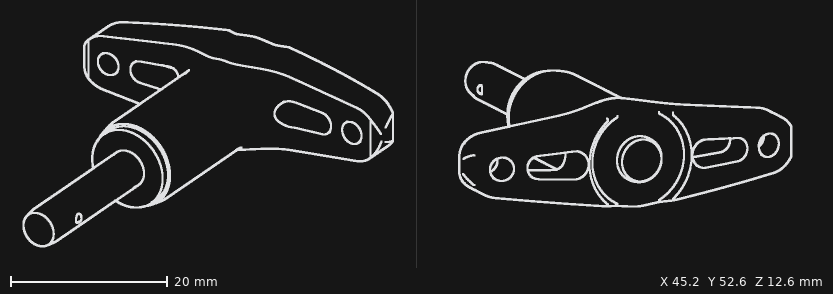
import cadquery as cq
import math


pin_length = 21.05
pin_radius = 2.5
tip_length = 1.5
tip_radius = 2.3
ball_radius = 0.65
ball_projection = 0.35
ball_y = -15.5

collar_radius = 5.35
collar_length = 1.25
sleeve_radius = 5.95
sleeve_end_radius = 5.7
sleeve_taper_length = 1.65
sleeve_straight_end = 20.6

root_fillet = 4.1
underside_slope = math.radians(3.0)
crest_radius = 7.1
crest_y = 31.2
dome_edge_y = 28.5
dome_bulge = 0.35
dish_floor_radius = 6.35
dish_floor_y = 30.4
back_rim_round = 0.2

hub_radius = 6.3
arm_end_radius = 3.85
handle_span = 45.2
half_span = handle_span / 2
arm_end_x = half_span - arm_end_radius

tip_taper = math.radians(9.5)
tip_round = 1.1

button_radius = 2.95
button_top_radius = 2.75
button_top_y = 31.55
button_round_length = 0.5
button_round_bulge = 0.05

hole_radius = 1.5
hole_x = 18.5
slot_outer_radius = 1.5
slot_outer_x = 13.75
slot_inner_radius = 1.85
slot_inner_x = 9.05


def tapered_outline(x_a, radius_a, x_b, radius_b):
    """XZ outline around two circles centred on the X axis, the first lying at smaller X."""
    tilt = math.asin((radius_a - radius_b) / (x_b - x_a))
    tangent_a = (x_a + radius_a * math.sin(tilt), radius_a * math.cos(tilt))
    tangent_b = (x_b + radius_b * math.sin(tilt), radius_b * math.cos(tilt))
    return (
        cq.Workplane("XZ")
        .moveTo(*tangent_a)
        .lineTo(*tangent_b)
        .threePointArc((x_b + radius_b, 0), (tangent_b[0], -tangent_b[1]))
        .lineTo(tangent_a[0], -tangent_a[1])
        .threePointArc((x_a - radius_a, 0), tangent_a)
        .close()
    )


def both_sides(body):
    """The body joined with its mirror image on the -X side."""
    return body.union(body.mirror("YZ"))


fillet_centre = (sleeve_radius + root_fillet, sleeve_straight_end)


def root_fillet_point(angle):
    """Point on the root fillet, the angle being measured from the sleeve side."""
    return (
        fillet_centre[0] - root_fillet * math.cos(angle),
        fillet_centre[1] + root_fillet * math.sin(angle),
    )


fillet_sweep = math.pi / 2 + underside_slope
fillet_end = root_fillet_point(fillet_sweep)


def underside_y(radius):
    """Height of the conical underside at a distance from the pin axis."""
    return fillet_end[1] - (radius - fillet_end[0]) * math.tan(underside_slope)


def turned_blank():
    """Collar, sleeve, conical underside, domed back and dish as one turned body."""
    return (
        cq.Workplane("XY")
        .moveTo(0, 0)
        .lineTo(collar_radius, 0)
        .lineTo(collar_radius, collar_length)
        .lineTo(sleeve_end_radius, collar_length)
        .lineTo(sleeve_radius, collar_length + sleeve_taper_length)
        .lineTo(sleeve_radius, sleeve_straight_end)
        .threePointArc(root_fillet_point(fillet_sweep / 2), fillet_end)
        .lineTo(half_span, underside_y(half_span))
        .lineTo(half_span, dome_edge_y)
        .sagittaArc((crest_radius, crest_y), -dome_bulge)
        .lineTo(dish_floor_radius, dish_floor_y)
        .lineTo(0, dish_floor_y)
        .close()
        .revolve(360, (0, 0), (0, 1))
    )


def plan_envelope():
    """Prism along Y of the hub and both arms."""
    outline = tapered_outline(0, hub_radius, arm_end_x, arm_end_radius)
    return both_sides(outline.extrude(-button_top_y))


def arm_tip_envelope():
    """Prism along Z whose sides are the tapered, rounded arm tips."""
    centre_x = half_span - tip_round
    start_x = centre_x - tip_round * math.sin(underside_slope)
    centre_y = underside_y(start_x) + tip_round * math.cos(underside_slope)
    face_low_x = centre_x + tip_round * math.cos(tip_taper)
    face_low_y = centre_y + tip_round * math.sin(tip_taper)
    face_top_x = face_low_x - (button_top_y - face_low_y) * math.tan(tip_taper)
    arc_middle_step = tip_round * math.cos(math.pi / 4)
    half = (
        cq.Workplane("XY")
        .moveTo(0, 0)
        .lineTo(sleeve_radius, 0)
        .lineTo(start_x, underside_y(start_x))
        .threePointArc((centre_x + arc_middle_step, centre_y - arc_middle_step), (face_low_x, face_low_y))
        .lineTo(face_top_x, button_top_y)
        .lineTo(0, button_top_y)
        .close()
        .extrude(hub_radius, both=True)
    )
    return both_sides(half)


def round_back_rim(body):
    """Round the edges where the back meets the side walls, leaving the turned dish edges sharp."""
    dish_edge_radii = (crest_radius, dish_floor_radius)

    def on_rim(edge):
        middle = edge.positionAt(0.5)
        middle_radius = math.hypot(middle.x, middle.z)
        on_back = edge.BoundingBox().ymin > dome_edge_y
        return on_back and not any(math.isclose(middle_radius, radius) for radius in dish_edge_radii)

    rim_edges = [edge for edge in body.edges().vals() if on_rim(edge)]
    return body.newObject(rim_edges).fillet(back_rim_round)


def button():
    """Push button with a rounded rim, standing in the dish."""
    rim_start = (button_radius, button_top_y - button_round_length)
    rim_end = (button_top_radius, button_top_y)
    return (
        cq.Workplane("XY")
        .moveTo(0, sleeve_straight_end)
        .lineTo(button_radius, sleeve_straight_end)
        .lineTo(*rim_start)
        .sagittaArc(rim_end, -button_round_bulge)
        .lineTo(0, button_top_y)
        .close()
        .revolve(360, (0, 0), (0, 1))
    )


def pin():
    """Pin with a tapered tip and two locking balls, rooted inside the collar."""
    body = (
        cq.Workplane("XY")
        .moveTo(0, collar_length)
        .lineTo(pin_radius, collar_length)
        .lineTo(pin_radius, tip_length - pin_length)
        .lineTo(tip_radius, -pin_length)
        .lineTo(0, -pin_length)
        .close()
        .revolve(360, (0, 0), (0, 1))
    )
    ball_x = pin_radius + ball_projection - ball_radius
    for side in (-1, 1):
        body = body.union(cq.Workplane("XY").sphere(ball_radius).translate((side * ball_x, ball_y, 0)))
    return body


def arm_openings():
    """Round hole and tapered slot through each arm, along Y."""
    hole = cq.Workplane("XZ").center(hole_x, 0).circle(hole_radius).extrude(-button_top_y)
    slot = tapered_outline(slot_inner_x, slot_inner_radius, slot_outer_x, slot_outer_radius)
    return both_sides(hole.union(slot.extrude(-button_top_y)))


handle = turned_blank().intersect(plan_envelope()).intersect(arm_tip_envelope())
handle = round_back_rim(handle).cut(arm_openings())
result = handle.union(button()).union(pin())